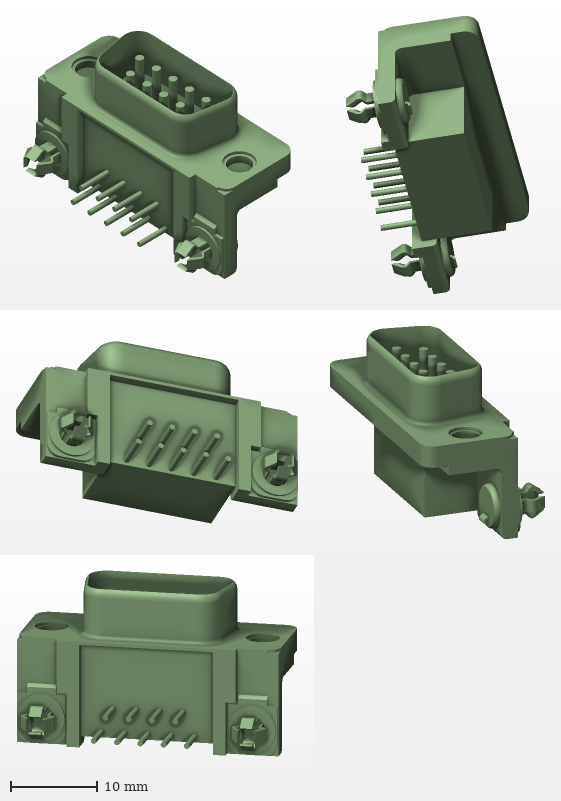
import cadquery as cq
import math


flange_length = 31.05
flange_depth = 12.55
flange_top = 12.7
flange_thickness = 2.65
flange_corner_radius = 1.6
half_length = flange_length / 2
flange_back = flange_depth / 2
front_y = -flange_depth / 2
flange_bottom = flange_top - flange_thickness
skin_thickness = 0.37

body_back = 3.25
body_bottom = 1.05
body_half_width = 7.95
recess_depth = 1.15
recess_face_y = front_y + recess_depth
recess_top = flange_top - skin_thickness
wing_bottom = 8.88
foot_back = -3.35
wing_foot_radius = 0.78
foot_toe_radius = 0.6

pocket_depth = 0.93
pocket_face_y = front_y + pocket_depth
upper_pocket_inner_x = 10.65
lower_pocket_inner_x = 9.45
lower_pocket_top = 6.35

step_width = 1.25
step_radius = 1.3
step_front_y = -5.05

hole_x = 12.55
hole_radius = 1.58
hole_depth = 1.37
counterbore_radius = 2.0

shell_top = 18.6
shell_half_depth = 4.62
shell_half_width = 8.65
shell_side_angle = 10.0
shell_corner_radius = 2.58
shell_wall = 0.47
shell_root_radius = 0.5
lip_radius = 1.25
lip_height = 0.93

pitch = 2.75
row_offset = 1.43
contact_radius = 0.53
contact_top = 17.15
tail_radius = 0.35
tail_end_y = -9.45
long_row_tail_z = 1.75
short_row_tail_z = long_row_tail_z + 2 * row_offset
rows = ((5, row_offset, long_row_tail_z), (4, -row_offset, short_row_tail_z))

lock_x = hole_x
lock_z = 3.2
plate_thickness = 0.4
plate_front_y = pocket_face_y - plate_thickness
plate_half_width = 2.9
plate_bottom = 0.1
plate_shoulder = 6.0
plate_corner_radius = 1.58
tab_half_width = 1.7
tab_top = 7.17
tab_chamfer = 0.37
disc_radius = 2.8
disc_thickness = 0.28
disc_front_y = plate_front_y - disc_thickness
bore_radius = 1.58
rivet_radius = 2.67
rivet_height = 0.75
rivet_round = 0.75
rivet_round_height = 0.6
rivet_face_y = foot_back + rivet_height

lock_sheet = 0.28
arm_width = 1.45
arm_inner = 1.02
arm_bend_length = 0.68
inner_bend_lag = 0.15
inner_bulge_height = 1.75
inner_bulge_radius = 0.25
outer_bulge_height = 2.15
outer_bulge_radius = 0.53
sideways_bulge_y = -7.75
upright_bulge_y = -7.98
tip_y = -9.53
tip_outer = 1.05
tip_inner = 0.93
tip_bevel = 0.25
tip_flat_end = 0.62
finger_inner_radius = 0.35
finger_bend_z = 1.52
finger_end = 0.1
finger_overlap = 0.15

select_margin = 0.03


def block(x_range, y_range, z_range):
    """Axis-aligned box from its lower and upper limits."""
    lows, highs = zip(x_range, y_range, z_range)
    size = [high - low for low, high in zip(lows, highs)]
    return cq.Workplane("XY").box(*size, centered=False).translate(lows)


def edge_box(half_x, y_range, z):
    """Selector for edges centred in a thin slab around height z."""
    low = (-half_x, y_range[0] - select_margin, z - select_margin)
    high = (half_x, y_range[1] + select_margin, z + select_margin)
    return cq.selectors.BoxSelector(low, high)


def mirrored(solid):
    """The solid together with its twin at the other end of the flange."""
    return solid.union(solid.mirror("YZ"))


def y_cylinder(x, z, radius, y_from, y_to):
    """Cylinder along Y."""
    plane = cq.Workplane("XZ", origin=(x, y_from, z))
    return plane.circle(radius).extrude(y_from - y_to)


def d_prism(inset, bottom, top):
    """Prism with the rounded D outline of the shell, moved inwards by inset."""
    slope = math.tan(math.radians(shell_side_angle))
    half_depth = shell_half_depth - inset
    middle = shell_half_width - inset / math.cos(math.radians(shell_side_angle))
    back = middle + half_depth * slope
    front = middle - half_depth * slope
    outline = [(-front, -half_depth), (front, -half_depth), (back, half_depth), (-back, half_depth)]
    prism = cq.Workplane("XY", origin=(0, 0, bottom)).polyline(outline).close().extrude(top - bottom)
    return prism.edges("|Z").fillet(shell_corner_radius - inset)


def housing():
    """Flange, central body and the two feet."""
    full = (-half_length, half_length)
    flange = block(full, (front_y, flange_back), (flange_bottom, flange_top))
    flange = flange.edges("|Z and >Y").fillet(flange_corner_radius)
    wings = block(full, (front_y, body_back), (wing_bottom, flange_top))
    foot = block((-half_length, -body_half_width), (front_y, foot_back), (0, flange_bottom))
    foot = foot.edges("|X and >Y and <Z").fillet(foot_toe_radius)
    solid = flange.union(wings).union(mirrored(foot))
    wing_roots = edge_box(half_length, (foot_back, foot_back), wing_bottom)
    solid = solid.edges("|X").edges(wing_roots).fillet(wing_foot_radius)
    body_x = (-body_half_width, body_half_width)
    solid = solid.union(block(body_x, (recess_face_y, body_back), (body_bottom, flange_top)))
    return solid.cut(block(body_x, (front_y, recess_face_y), (0, recess_top)))


def end_pockets():
    """Stepped pocket in front of each foot."""
    depth = (front_y, pocket_face_y)
    upper = block((-half_length, -upper_pocket_inner_x), depth, (0, flange_top))
    lower = block((-half_length, -lower_pocket_inner_x), depth, (0, lower_pocket_top))
    return mirrored(upper.union(lower))


def corner_steps():
    """Steps where the rounded metal skin leaves the front corners bare."""
    step_x = (-half_length, step_width - half_length)
    step = block(step_x, (front_y, step_front_y + step_radius), (recess_top, flange_top))
    skin = cq.Workplane("XY", origin=(0, 0, recess_top))
    skin = skin.center(step_radius - half_length, step_front_y + step_radius)
    return mirrored(step.cut(skin.circle(step_radius).extrude(skin_thickness)))


def mounting_holes():
    """Counterbored blind holes."""
    top = cq.Workplane("XY", origin=(-hole_x, 0, flange_top))
    hole = top.circle(hole_radius).extrude(-hole_depth)
    return mirrored(hole.union(top.circle(counterbore_radius).extrude(-skin_thickness)))


def add_shell(solid):
    """Shell with a flared root and an inward-curved lip."""
    shell = d_prism(0, flange_bottom, shell_top - lip_height + lip_radius)
    shell = shell.faces(">Z").edges().fillet(lip_radius)
    above = block((-half_length, half_length), (front_y, flange_back), (shell_top, shell_top + lip_radius))
    root = edge_box(hole_x, (-shell_half_depth, shell_half_depth), flange_top)
    solid = solid.union(shell.cut(above)).edges(root).fillet(shell_root_radius)
    return solid.cut(d_prism(shell_wall, recess_top, shell_top))


def add_contacts(solid):
    """Pins in the shell and their solder tails, five in one row and four in the other."""
    for count, row_y, tail_z in rows:
        for index in range(count):
            x = (index - (count - 1) / 2) * pitch
            pin = cq.Workplane("XY", origin=(x, row_y, flange_bottom)).circle(contact_radius)
            tail = y_cylinder(x, tail_z, tail_radius, foot_back, tail_end_y)
            solid = solid.union(pin.extrude(contact_top - flange_bottom)).union(tail)
    return solid


def lock_arm(bulge_y):
    """Spring arm above the lock axis, bent outwards to a rounded bulge and back in to the tip."""
    inner = arm_inner
    outer = arm_inner + lock_sheet
    bend_y = bulge_y + arm_bend_length
    outline = [
        (inner, pocket_face_y),
        (outer, pocket_face_y),
        (outer, bend_y),
        (outer_bulge_height, bulge_y),
        (tip_outer, tip_y),
        (tip_inner, tip_y + tip_bevel),
        (tip_inner, tip_y + tip_flat_end),
        (inner_bulge_height, bulge_y),
        (inner, bend_y - inner_bend_lag),
    ]
    profile = [(y, lock_z + distance) for distance, y in outline]
    side = cq.Workplane("YZ", origin=(-lock_x - arm_width / 2, 0, 0))
    arm = side.polyline(profile).close().extrude(arm_width)
    arm = arm.edges("|X and >Z").fillet(outer_bulge_radius)
    inner_corner = cq.selectors.NearestToPointSelector((-lock_x, bulge_y, lock_z + inner_bulge_height))
    return arm.edges("|X").edges(inner_corner).fillet(inner_bulge_radius)


def retaining_finger():
    """Sheet strip that leaves the rivet head and curls down through a quarter turn."""
    inner = finger_inner_radius
    outer = finger_inner_radius + lock_sheet
    diagonal = math.sqrt(0.5)
    strip = cq.Workplane("YZ", origin=(-lock_x - arm_width / 2, rivet_face_y, finger_bend_z))
    strip = strip.moveTo(-finger_overlap, inner).lineTo(-finger_overlap, outer).lineTo(0, outer)
    strip = strip.threePointArc((outer * diagonal, outer * diagonal), (outer, 0))
    strip = strip.lineTo(outer, -finger_end).lineTo(inner, -finger_end).lineTo(inner, 0)
    strip = strip.threePointArc((inner * diagonal, inner * diagonal), (0, inner))
    return strip.close().extrude(arm_width)


def rivet_head():
    """Flat-faced rivet head with a rounded rim."""
    crown_y = rivet_face_y - rivet_round_height + rivet_round
    head = y_cylinder(-lock_x, lock_z, rivet_radius, crown_y, foot_back)
    head = head.faces(">Y").edges().fillet(rivet_round)
    return head.cut(y_cylinder(-lock_x, lock_z, rivet_radius, crown_y, rivet_face_y))


def board_lock():
    """Plate, disc, four spring arms, and the rivet head with its finger behind the foot."""
    plate_x = (-lock_x - plate_half_width, -lock_x + plate_half_width)
    plate_y = (plate_front_y, pocket_face_y)
    plate = block(plate_x, plate_y, (plate_bottom, plate_shoulder))
    plate = plate.edges("|Y and <Z").fillet(plate_corner_radius)
    tab = block((-lock_x - tab_half_width, -lock_x + tab_half_width), plate_y, (lock_z, tab_top))
    tab = tab.edges("<Y and >Z").chamfer(tab_chamfer)
    lock = plate.union(tab)
    lock = lock.union(y_cylinder(-lock_x, lock_z, disc_radius, plate_front_y, disc_front_y))
    lock = lock.cut(y_cylinder(-lock_x, lock_z, bore_radius, pocket_face_y, disc_front_y))
    axis_start = (-lock_x, 0, lock_z)
    axis_end = (-lock_x, 1, lock_z)
    for bulge_y, angles in ((upright_bulge_y, (0, 180)), (sideways_bulge_y, (90, 270))):
        for angle in angles:
            lock = lock.union(lock_arm(bulge_y).rotate(axis_start, axis_end, angle))
    return lock.union(rivet_head()).union(retaining_finger())


result = add_shell(housing())
result = result.cut(end_pockets()).cut(corner_steps()).cut(mounting_holes())
result = add_contacts(result).union(mirrored(board_lock()))